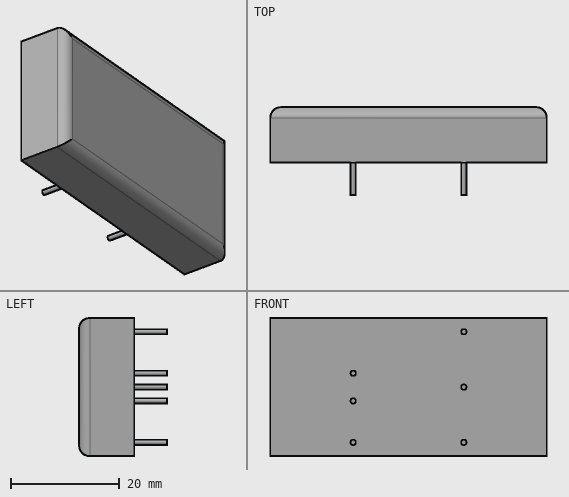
import cadquery as cq

body_length = 50.8
body_height = 25.4
body_depth = 10.2
back_edge_radius = 2.0

pitch = 2.54
pin_diameter = 1.0
pin_length = 6.0
pin_column_x = 4 * pitch
outer_pin_z = 4 * pitch
left_pin_heights = [pitch, -pitch, -outer_pin_z]
right_pin_heights = [outer_pin_z, 0, -outer_pin_z]


def make_body():
    """Box with its front face on the plane Y = 0 and rounded edges around the back face."""
    box = cq.Workplane("XY").box(body_length, body_depth, body_height, centered=(True, False, True))
    return box.faces(">Y").edges().fillet(back_edge_radius)


def make_pins():
    """Two columns of round pins reaching from the front face toward -Y."""
    positions = [(-pin_column_x, z) for z in left_pin_heights]
    positions += [(pin_column_x, z) for z in right_pin_heights]
    return cq.Workplane("XZ").pushPoints(positions).circle(pin_diameter / 2).extrude(pin_length)


result = make_body().union(make_pins())